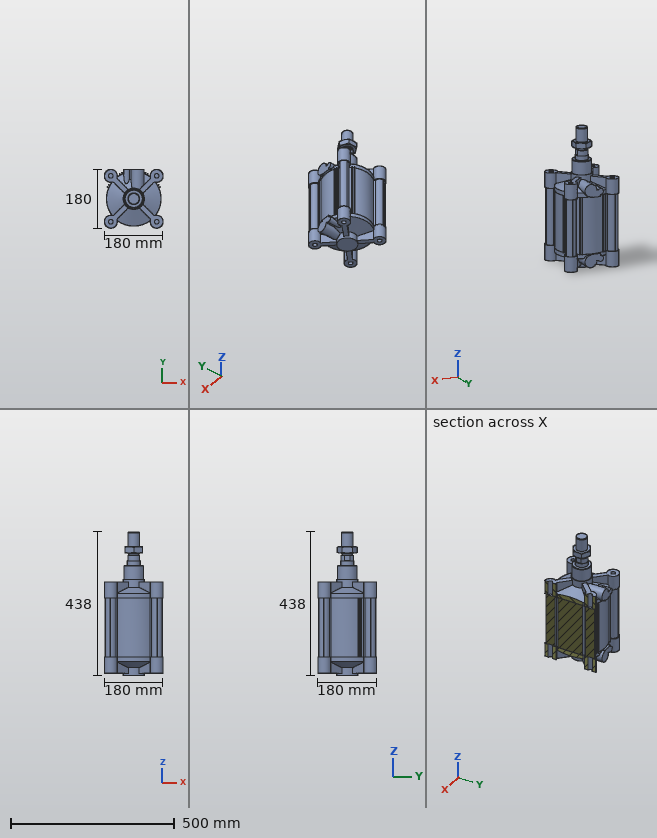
import cadquery as cq
import math

total_length = 438.0
envelope_width = 180.0

cap_height = 49.0
cap_disc_dia = 167.5
cap_disc_height = 13.5
cone_height = 18.5
flange_dia = 65.0
flange_rise = 7.0
flange_height = cap_height + flange_rise
post_dia = 40.0
post_spacing = envelope_width - post_dia
post_radius_from_axis = post_spacing / math.sqrt(2)
rib_width = 15.8
mount_hole_dia = 14.0
bearing_dia = 61.0
bearing_height = 43.0
bearing_chamfer = 1.8

supply_port_dia = 40.0
supply_port_x = 12.0
supply_port_height = 22.0
cushion_port_dia = 19.3
cushion_port_x = -21.0
cushion_port_height = 15.8
port_bridge_height = 22.0
port_face_y = envelope_width / 2

barrel_dia = 166.5
barrel_length = 181.0
column_dia = 32.0
column_ridge_dia = 36.0
column_ridge_width = 21.0
column_web_width = 23.0
fin_thickness = 1.8
fin_tip_radius = 88.5
fin_pair_offset = 18.2
fin_pair_half_angle = 2.5

rod_dia = 40.0
wrench_dia = 39.5
wrench_flats = 36.0
thread_dia = 36.0
thread_end_dia = 32.5
undercut_dia = 32.0
rod_shoulder_from_tip = 88.5
wrench_length = 17.0
undercut_length = 5.0
tip_chamfer_height = 2.5

nut_flats = 54.0
nut_thickness = 19.3
nut_top_from_tip = 44.5
nut_chamfer_dia = 52.5
nut_chamfer_angle = 25.0

rear_cap_inner_z = flange_height
front_cap_inner_z = rear_cap_inner_z + barrel_length
nut_bottom_z = total_length - nut_top_from_tip - nut_thickness
post_angles = [45, 135, 225, 315]
finned_post_angles = [45, 135]


def disc(diameter, height):
    """Cylinder standing on the XY plane."""
    return cq.Workplane("XY").circle(diameter / 2).extrude(height)


def side_port(diameter, x, height):
    """Round port boss running from the cap axis plane out to the +Y face."""
    return (
        cq.Workplane("XZ", origin=(0, port_face_y, 0))
        .center(x, height)
        .circle(diameter / 2)
        .extrude(port_face_y)
    )


def port_bridge():
    """Flat-topped block joining the two side ports."""
    return cq.Workplane("XY").box(
        supply_port_x - cushion_port_x, port_face_y, port_bridge_height, centered=False
    ).translate((cushion_port_x, 0, 0))


def end_cap():
    """Cap with its inner face on z = 0 and its flange pointing up."""
    disc_radius = cap_disc_dia / 2
    flange_radius = flange_dia / 2
    cap = (
        cq.Workplane("XZ")
        .moveTo(0, 0)
        .lineTo(disc_radius, 0)
        .lineTo(disc_radius, cap_disc_height)
        .lineTo(flange_radius, cap_disc_height + cone_height)
        .lineTo(flange_radius, flange_height)
        .lineTo(0, flange_height)
        .close()
        .revolve(360, (0, 0), (0, 1))
    )
    post_centres = cq.Workplane("XY").rect(post_spacing, post_spacing, forConstruction=True).vertices()
    cap = cap.union(post_centres.circle(post_dia / 2).extrude(cap_height))
    for angle in post_angles:
        rib = (
            cq.Workplane("XY")
            .rect(post_radius_from_axis, rib_width)
            .extrude(cap_height)
            .translate((post_radius_from_axis / 2, 0, 0))
            .rotate((0, 0, 0), (0, 0, 1), angle)
        )
        cap = cap.union(rib)
    cap = cap.union(side_port(supply_port_dia, supply_port_x, supply_port_height))
    cap = cap.union(side_port(cushion_port_dia, cushion_port_x, cushion_port_height))
    cap = cap.union(port_bridge())
    return cap.cut(post_centres.circle(mount_hole_dia / 2).extrude(cap_height))


def make_rear_cap():
    """End cap turned over so that its flange points down."""
    return end_cap().mirror("XY").translate((0, 0, rear_cap_inner_z))


def make_front_cap():
    """End cap with the rod bearing on its flange and a bore for the rod."""
    bearing = disc(bearing_dia, bearing_height).faces(">Z").edges().chamfer(bearing_chamfer)
    cap = end_cap().union(bearing.translate((0, 0, flange_height)))
    cap = cap.cut(disc(rod_dia, flange_height + bearing_height))
    return cap.translate((0, 0, front_cap_inner_z))


def barrel_column():
    """Round column on the +X side, tied to the barrel by a web and with a raised outer ridge."""
    web = (
        cq.Workplane("XY")
        .rect(post_radius_from_axis, column_web_width)
        .extrude(barrel_length)
        .translate((post_radius_from_axis / 2, 0, 0))
    )
    ridge_bar = (
        cq.Workplane("XY")
        .rect(column_ridge_dia, column_ridge_width)
        .extrude(barrel_length)
        .translate((column_ridge_dia / 2, 0, 0))
    )
    ridge = disc(column_ridge_dia, barrel_length).intersect(ridge_bar)
    column = disc(column_dia, barrel_length).union(ridge)
    return column.translate((post_radius_from_axis, 0, 0)).union(web)


def barrel_fin():
    """Thin radial fin on the +X side."""
    return (
        cq.Workplane("XY")
        .rect(fin_tip_radius, fin_thickness)
        .extrude(barrel_length)
        .translate((fin_tip_radius / 2, 0, 0))
    )


def make_barrel():
    """Barrel with four columns and a pair of fins on each side of the two +Y columns."""
    barrel = disc(barrel_dia, barrel_length)
    for angle in post_angles:
        barrel = barrel.union(barrel_column().rotate((0, 0, 0), (0, 0, 1), angle))
    for post_angle in finned_post_angles:
        for side in (-1, 1):
            for edge in (-1, 1):
                angle = post_angle + side * fin_pair_offset + edge * fin_pair_half_angle
                barrel = barrel.union(barrel_fin().rotate((0, 0, 0), (0, 0, 1), angle))
    return barrel.translate((0, 0, rear_cap_inner_z))


def make_rod():
    """Turned rod with two wrench flats, a thread undercut and a chamfered tip."""
    shoulder_z = total_length - rod_shoulder_from_tip
    wrench_top_z = shoulder_z + wrench_length
    thread_start_z = wrench_top_z + undercut_length
    thread_end_chamfer = (thread_dia - undercut_dia) / 2
    rod = (
        cq.Workplane("XZ")
        .moveTo(0, front_cap_inner_z)
        .lineTo(rod_dia / 2, front_cap_inner_z)
        .lineTo(rod_dia / 2, shoulder_z)
        .lineTo(wrench_dia / 2, shoulder_z)
        .lineTo(wrench_dia / 2, wrench_top_z)
        .lineTo(undercut_dia / 2, wrench_top_z)
        .lineTo(undercut_dia / 2, thread_start_z)
        .lineTo(thread_dia / 2, thread_start_z + thread_end_chamfer)
        .lineTo(thread_dia / 2, total_length - tip_chamfer_height)
        .lineTo(thread_end_dia / 2, total_length)
        .lineTo(0, total_length)
        .close()
        .revolve(360, (0, 0), (0, 1))
    )
    flat_depth = (wrench_dia - wrench_flats) / 2
    for side in (-1, 1):
        flat_cut = (
            cq.Workplane("XZ")
            .moveTo(side * wrench_dia / 2, shoulder_z)
            .lineTo(side * wrench_flats / 2, shoulder_z + flat_depth)
            .lineTo(side * wrench_flats / 2, wrench_top_z)
            .lineTo(side * wrench_dia / 2, wrench_top_z)
            .close()
            .extrude(wrench_dia / 2, both=True)
        )
        rod = rod.cut(flat_cut)
    return rod


def make_nut():
    """Hexagon nut with corners on the Y axis, chamfered on both faces."""
    corner_radius = nut_flats / math.sqrt(3)
    chamfer_radius = nut_chamfer_dia / 2
    chamfer_drop = (corner_radius - chamfer_radius) * math.tan(math.radians(nut_chamfer_angle))
    chamfer_cone = (
        cq.Workplane("XZ")
        .moveTo(0, 0)
        .lineTo(chamfer_radius, 0)
        .lineTo(corner_radius, chamfer_drop)
        .lineTo(corner_radius, nut_thickness - chamfer_drop)
        .lineTo(chamfer_radius, nut_thickness)
        .lineTo(0, nut_thickness)
        .close()
        .revolve(360, (0, 0), (0, 1))
    )
    hexagon = (
        cq.Workplane("XY")
        .polygon(6, 2 * corner_radius)
        .extrude(nut_thickness)
        .rotate((0, 0, 0), (0, 0, 1), 90)
    )
    nut = hexagon.intersect(chamfer_cone).cut(disc(thread_dia, nut_thickness))
    return nut.translate((0, 0, nut_bottom_z))


rear_cap = make_rear_cap()
front_cap = make_front_cap()
barrel = make_barrel()
rod = make_rod()
nut = make_nut()

result = cq.Compound.makeCompound(
    [rear_cap.val(), front_cap.val(), barrel.val(), rod.val(), nut.val()]
)